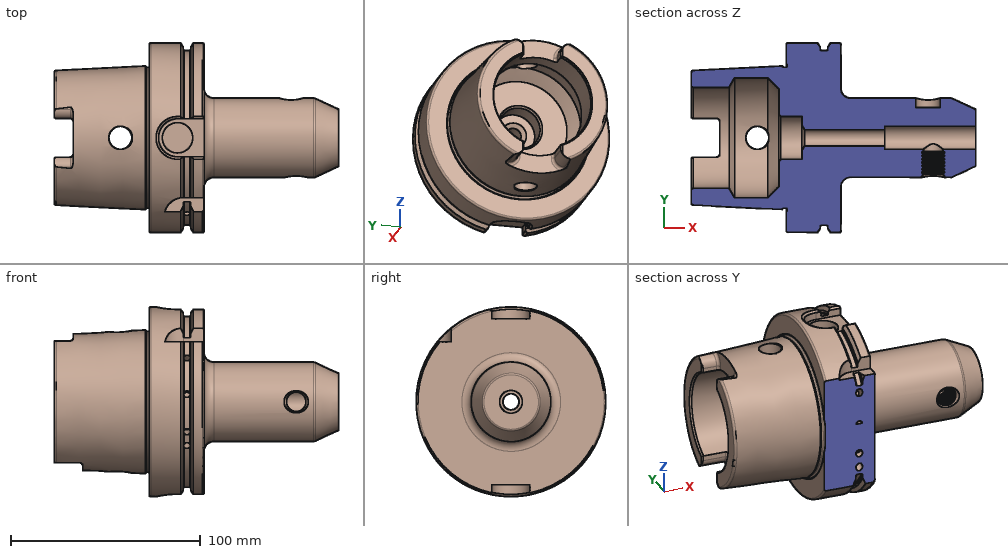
import cadquery as cq
import math


SHANK_LENGTH = 50.0
GAUGE_DIAMETER = 75.0
GAUGE_X = -10.0
TAPER_RATIO = 1 / 9.98
SHANK_END_FILLET = 1.3
UNDERCUT_START_X = -2.1
UNDERCUT_RADIUS = 37.2
UNDERCUT_LEAD = 0.9
UNDERCUT_FACE_RADIUS = 39.0
UNDERCUT_FACE_DEPTH = 0.5
UNDERCUT_FILLET = 0.8

FLANGE_RADIUS = 50.0
FLANGE_WIDTH = 29.0
FLANGE_EDGE_FILLET = 1.0

GROOVE_X = 20.0
GROOVE_FLOOR_RADIUS = 46.1
GROOVE_FLOOR_HALF_WIDTH = 1.35
GROOVE_WALL_HALF_WIDTH = 1.9
GROOVE_TOP_HALF_WIDTH = 3.4
GROOVE_FLARE_RADIUS = 47.7
GROOVE_FLOOR_BEVEL = 0.4

NOSE_RADIUS = 21.0
NOSE_END_X = 100.0
NOSE_ROOT_FILLET = 5.0
NOSE_CONE_START_X = 87.1
NOSE_CONE_ANGLE = 25.0
NOSE_SHOULDER_FILLET = 2.25
NOSE_TIP_FILLET = 1.0

CLAMP_BORE_RADIUS = 26.5
CLAMP_BORE_CHAMFER = 0.6
CLAMP_BORE_CHAMFER_LENGTH = 1.1
CLAMP_SHOULDER_X = -30.0
CLAMP_SHOULDER_ANGLE = 60.0
CHAMBER_RADIUS = 31.5
CHAMBER_END_X = -9.6
CHAMBER_FLOOR_RADIUS = 25.6
CHAMBER_FLOOR_X = CHAMBER_END_X + CHAMBER_RADIUS - CHAMBER_FLOOR_RADIUS

TUBE_CORE_RADIUS = 11.2
TUBE_CHAMFER = 1.05
TUBE_SEAT_DEPTH = 12.0
ADJUSTER_CORE_RADIUS = 4.19
ADJUSTER_CONE_RADIUS = 6.7
ADJUSTER_CONE_ANGLE = 60.0
TOOL_BORE_RADIUS = 6.0
TOOL_BORE_DEPTH = 48.0

DRIVE_SLOT_HALF_WIDTH = 10.1
DRIVE_SLOT_FLARE_RADIUS = 5.0
DRIVE_SLOT_FLARE_START = 27.1
DRIVE_SLOT_DEPTH_TOP = 10.0
DRIVE_SLOT_DEPTH_BOTTOM = 15.0
DRIVE_SLOT_FLOOR_FILLET = 1.6
DRIVE_SLOT_CHAMFER = 0.8

ACCESS_HOLE_X = -15.1
ACCESS_HOLE_RADIUS = 6.0
ACCESS_HOLE_CHAMFER = 0.4

KEY_SLOT_HALF_WIDTH = 10.0
KEY_SLOT_CENTER_X = 15.0
KEY_SLOT_FLOOR = 43.7
KEY_SLOT_CHAMFER = 1.3
CHIP_HOLE_RADIUS = 8.0
CHIP_HOLE_DEPTH = 5.5

NOTCH_WALL = 31.5
NOTCH_END_RADIUS = 10.0
NOTCH_END_CENTER_X = 18.0
NOTCH_FILLET_MARGIN = 0.01

BALANCE_HOLE_ANGLES = (30, 5, -20, -30)
BALANCE_HOLE_RADIUS = 1.75
BALANCE_HOLE_DEPTH = 8.0

SCREW_X = 77.5
SCREW_CORE_RADIUS = 5.1
SCREW_MAJOR_RADIUS = 6.0
SCREW_PITCH = 1.75
SCREW_GROOVE_SHARE = 0.9
SCREW_MOUTH_RADIUS = 6.4
SCREW_MOUTH_DEPTH = 1.9
RELIEF_HOLE_X = 74.8
RELIEF_HOLE_RADIUS = 6.4
RELIEF_HOLE_DEPTH = 5.0

CLEARANCE = 5.0
MARGIN = 1.0


def taper_radius(x):
    return (GAUGE_DIAMETER + (x - GAUGE_X) * TAPER_RATIO) / 2


def revolve_about_axis(outline):
    return outline.close().revolve(360, (0, 0, 0), (1, 0, 0))


def edges_at(body, x, radius):
    """Largest circular edge about the tool axis at the given station, within the given radius."""
    reach = 0.05
    box = cq.selectors.BoxSelector(
        (x - reach, -radius - reach, -radius - reach),
        (x + reach, radius + reach, radius + reach),
        boundingbox=True,
    )
    return body.edges(box).edges(cq.selectors.RadiusNthSelector(-1))


def turned_body():
    cone_drop = (NOSE_END_X - NOSE_CONE_START_X) * math.tan(math.radians(NOSE_CONE_ANGLE))
    tip_radius = NOSE_RADIUS - cone_drop
    shank_end_radius = taper_radius(-SHANK_LENGTH)
    body = revolve_about_axis(
        cq.Workplane("XY")
        .moveTo(-SHANK_LENGTH, 0)
        .lineTo(-SHANK_LENGTH, shank_end_radius)
        .lineTo(UNDERCUT_START_X, taper_radius(UNDERCUT_START_X))
        .lineTo(UNDERCUT_START_X + UNDERCUT_LEAD, UNDERCUT_RADIUS)
        .lineTo(UNDERCUT_FACE_DEPTH - UNDERCUT_FILLET, UNDERCUT_RADIUS)
        .radiusArc((UNDERCUT_FACE_DEPTH, UNDERCUT_RADIUS + UNDERCUT_FILLET), -UNDERCUT_FILLET)
        .lineTo(UNDERCUT_FACE_DEPTH, UNDERCUT_FACE_RADIUS - UNDERCUT_FACE_DEPTH)
        .lineTo(0, UNDERCUT_FACE_RADIUS)
        .lineTo(0, FLANGE_RADIUS)
        .lineTo(FLANGE_WIDTH, FLANGE_RADIUS)
        .lineTo(FLANGE_WIDTH, NOSE_RADIUS)
        .lineTo(NOSE_CONE_START_X, NOSE_RADIUS)
        .lineTo(NOSE_END_X, tip_radius)
        .lineTo(NOSE_END_X, 0)
    )
    fillets = (
        (-SHANK_LENGTH, shank_end_radius, SHANK_END_FILLET),
        (0, FLANGE_RADIUS, FLANGE_EDGE_FILLET),
        (FLANGE_WIDTH, NOSE_RADIUS, NOSE_ROOT_FILLET),
        (NOSE_CONE_START_X, NOSE_RADIUS, NOSE_SHOULDER_FILLET),
        (NOSE_END_X, tip_radius, NOSE_TIP_FILLET),
    )
    for x, edge_radius, fillet_radius in fillets:
        body = edges_at(body, x, edge_radius).fillet(fillet_radius)
    return body


def gripper_groove():
    right_side = (
        (GROOVE_FLOOR_HALF_WIDTH, GROOVE_FLOOR_RADIUS),
        (GROOVE_WALL_HALF_WIDTH, GROOVE_FLOOR_RADIUS + GROOVE_FLOOR_BEVEL),
        (GROOVE_WALL_HALF_WIDTH, GROOVE_FLARE_RADIUS),
        (GROOVE_TOP_HALF_WIDTH, FLANGE_RADIUS),
        (GROOVE_TOP_HALF_WIDTH, FLANGE_RADIUS + CLEARANCE),
    )
    outline = [(GROOVE_X + offset, radius) for offset, radius in right_side]
    outline += [(GROOVE_X - offset, radius) for offset, radius in reversed(right_side)]
    return revolve_about_axis(cq.Workplane("XY").polyline(outline))


def axial_bore():
    flare_length = (CHAMBER_RADIUS - CLAMP_BORE_RADIUS) / math.tan(math.radians(CLAMP_SHOULDER_ANGLE))
    seat_floor_x = CHAMBER_FLOOR_X + TUBE_SEAT_DEPTH
    cone_drop = ADJUSTER_CONE_RADIUS - ADJUSTER_CORE_RADIUS
    cone_end_x = seat_floor_x + cone_drop / math.tan(math.radians(ADJUSTER_CONE_ANGLE))
    tool_bore_x = NOSE_END_X - TOOL_BORE_DEPTH
    outline = (
        (-SHANK_LENGTH, 0),
        (-SHANK_LENGTH, CLAMP_BORE_RADIUS + CLAMP_BORE_CHAMFER),
        (-SHANK_LENGTH + CLAMP_BORE_CHAMFER_LENGTH, CLAMP_BORE_RADIUS),
        (CLAMP_SHOULDER_X, CLAMP_BORE_RADIUS),
        (CLAMP_SHOULDER_X + flare_length, CHAMBER_RADIUS),
        (CHAMBER_END_X, CHAMBER_RADIUS),
        (CHAMBER_FLOOR_X, CHAMBER_FLOOR_RADIUS),
        (CHAMBER_FLOOR_X, TUBE_CORE_RADIUS + TUBE_CHAMFER),
        (CHAMBER_FLOOR_X + TUBE_CHAMFER, TUBE_CORE_RADIUS),
        (seat_floor_x, TUBE_CORE_RADIUS),
        (seat_floor_x, ADJUSTER_CONE_RADIUS),
        (cone_end_x, ADJUSTER_CORE_RADIUS),
        (tool_bore_x, ADJUSTER_CORE_RADIUS),
        (tool_bore_x, TOOL_BORE_RADIUS),
        (NOSE_END_X, TOOL_BORE_RADIUS),
        (NOSE_END_X, 0),
    )
    return revolve_about_axis(cq.Workplane("XY").polyline(outline))


def drive_slot(depth):
    """Slot toward +Z in the shank end, with walls that curve outward near the taper."""
    half = DRIVE_SLOT_HALF_WIDTH
    flare = DRIVE_SLOT_FLARE_RADIUS
    start = DRIVE_SLOT_FLARE_START
    diagonal = flare * math.sqrt(0.5)
    outer = FLANGE_RADIUS
    slot = (
        cq.Workplane("YZ", origin=(-SHANK_LENGTH - CLEARANCE, 0, 0))
        .moveTo(-half, 0)
        .lineTo(-half, start)
        .threePointArc((-half - flare + diagonal, start + diagonal), (-half - flare, start + flare))
        .lineTo(-outer, start + flare)
        .lineTo(-outer, outer)
        .lineTo(outer, outer)
        .lineTo(outer, start + flare)
        .lineTo(half + flare, start + flare)
        .threePointArc((half + flare - diagonal, start + diagonal), (half, start))
        .lineTo(half, 0)
        .close()
        .extrude(CLEARANCE + depth)
        .faces(">X")
        .edges()
        .fillet(DRIVE_SLOT_FLOOR_FILLET)
    )
    wide = half + DRIVE_SLOT_CHAMFER
    mouth = (
        cq.Workplane("XY")
        .polyline([
            (-SHANK_LENGTH, -wide),
            (-SHANK_LENGTH, wide),
            (-SHANK_LENGTH + DRIVE_SLOT_CHAMFER, half),
            (-SHANK_LENGTH + DRIVE_SLOT_CHAMFER, -half),
        ])
        .close()
        .extrude(start + flare)
    )
    return slot.union(mouth)


def access_hole():
    """Hole along Z through both shank walls, chamfered at the taper surface."""
    hole = cq.Workplane("XY", origin=(ACCESS_HOLE_X, 0, -FLANGE_RADIUS))
    hole = hole.circle(ACCESS_HOLE_RADIUS).extrude(2 * FLANGE_RADIUS)
    surface = taper_radius(ACCESS_HOLE_X)
    mouth = (
        cq.Workplane("XY", origin=(ACCESS_HOLE_X, 0, surface - ACCESS_HOLE_CHAMFER))
        .circle(ACCESS_HOLE_RADIUS)
        .workplane(offset=ACCESS_HOLE_CHAMFER)
        .circle(ACCESS_HOLE_RADIUS + ACCESS_HOLE_CHAMFER)
        .loft()
    )
    return hole.union(mouth).union(mouth.mirror("XY"))


def key_slot():
    """Round-ended slot toward +Z, open at the nose side of the flange."""
    height = FLANGE_RADIUS + CLEARANCE - KEY_SLOT_FLOOR
    length = FLANGE_WIDTH + CLEARANCE - KEY_SLOT_CENTER_X
    floor_plane = cq.Workplane("XY", origin=(KEY_SLOT_CENTER_X, 0, KEY_SLOT_FLOOR))
    round_end = floor_plane.circle(KEY_SLOT_HALF_WIDTH).extrude(height)
    channel = floor_plane.rect(2 * length, 2 * KEY_SLOT_HALF_WIDTH).extrude(height)
    right_half = floor_plane.rect(2 * length, 4 * KEY_SLOT_HALF_WIDTH).extrude(height)
    right_half = right_half.translate((length, 0, 0))
    return round_end.union(channel.intersect(right_half))


def cut_key_slots(body):
    """Cut the slots toward +Z and -Z and chamfer their rims."""
    slot = key_slot()
    body = body.cut(slot).cut(slot.mirror("XY"))
    lowest_rim = math.sqrt(FLANGE_RADIUS**2 - KEY_SLOT_HALF_WIDTH**2) - 0.1 * MARGIN
    for side in (1, -1):
        slot_rim = cq.selectors.BoxSelector(
            (MARGIN, -KEY_SLOT_HALF_WIDTH - MARGIN, side * lowest_rim),
            (FLANGE_WIDTH - MARGIN, KEY_SLOT_HALF_WIDTH + MARGIN, side * (FLANGE_RADIUS + MARGIN)),
        )
        body = body.edges(slot_rim).chamfer(KEY_SLOT_CHAMFER)
    return body


def nose_side_rim_rounding():
    """Ring that rounds the flange edge on the nose side."""
    fillet = FLANGE_EDGE_FILLET
    arc_reach = fillet * math.sqrt(0.5)
    return revolve_about_axis(
        cq.Workplane("XY")
        .moveTo(FLANGE_WIDTH - fillet, FLANGE_RADIUS)
        .threePointArc(
            (FLANGE_WIDTH - fillet + arc_reach, FLANGE_RADIUS - fillet + arc_reach),
            (FLANGE_WIDTH, FLANGE_RADIUS - fillet),
        )
        .lineTo(FLANGE_WIDTH + fillet, FLANGE_RADIUS - fillet)
        .lineTo(FLANGE_WIDTH + fillet, FLANGE_RADIUS + fillet)
        .lineTo(FLANGE_WIDTH - fillet, FLANGE_RADIUS + fillet)
    )


def chip_hole():
    hole = cq.Workplane("XY", origin=(KEY_SLOT_CENTER_X, 0, KEY_SLOT_FLOOR - CHIP_HOLE_DEPTH))
    return hole.circle(CHIP_HOLE_RADIUS).extrude(CHIP_HOLE_DEPTH + CLEARANCE)


def orientation_notch():
    """Stepped notch between the -Y and +Z directions, with a round end toward the shank."""
    start_x = NOTCH_END_CENTER_X - NOTCH_END_RADIUS
    length = FLANGE_WIDTH + CLEARANCE - start_x
    width = 2 * NOTCH_END_RADIUS
    return (
        cq.Workplane("XY", origin=(start_x, -NOTCH_WALL - width, NOTCH_WALL))
        .box(length, width, FLANGE_RADIUS - NOTCH_WALL, centered=False)
        .edges("|Z and <X")
        .fillet(NOTCH_END_RADIUS - NOTCH_FILLET_MARGIN)
    )


def balance_hole(angle):
    """Radial blind hole in the groove floor."""
    hole = (
        cq.Workplane("XZ", origin=(GROOVE_X, -GROOVE_FLOOR_RADIUS + BALANCE_HOLE_DEPTH, 0))
        .circle(BALANCE_HOLE_RADIUS)
        .extrude(BALANCE_HOLE_DEPTH + MARGIN)
    )
    return hole.rotate((0, 0, 0), (1, 0, 0), -angle)


def screw_hole():
    """Threaded hole from -Y into the tool bore, with the thread as a stack of ring grooves."""
    mouth_end = NOSE_RADIUS - SCREW_MOUTH_DEPTH
    mouth_slope = (SCREW_MOUTH_RADIUS - SCREW_CORE_RADIUS) / SCREW_MOUTH_DEPTH
    outer = NOSE_RADIUS + MARGIN
    hole = (
        cq.Workplane("XY")
        .polyline([
            (0, 0),
            (SCREW_CORE_RADIUS, 0),
            (SCREW_CORE_RADIUS, -mouth_end),
            (SCREW_CORE_RADIUS + mouth_slope * (outer - mouth_end), -outer),
            (0, -outer),
        ])
        .close()
        .revolve(360, (0, 0, 0), (0, 1, 0))
    )
    groove_half = SCREW_PITCH * SCREW_GROOVE_SHARE / 2
    groove_count = int((mouth_end - TOOL_BORE_RADIUS) / SCREW_PITCH)
    for index in range(groove_count):
        y = -mouth_end + (index + 0.5) * SCREW_PITCH
        groove = (
            cq.Workplane("XY")
            .polyline([
                (0, y - groove_half),
                (SCREW_CORE_RADIUS, y - groove_half),
                (SCREW_MAJOR_RADIUS, y),
                (SCREW_CORE_RADIUS, y + groove_half),
                (0, y + groove_half),
            ])
            .close()
            .revolve(360, (0, 0, 0), (0, 1, 0))
        )
        hole = hole.union(groove)
    return hole.translate((SCREW_X, 0, 0))


def relief_hole():
    hole = cq.Workplane("XZ", origin=(RELIEF_HOLE_X, NOSE_RADIUS + MARGIN, 0))
    return hole.circle(RELIEF_HOLE_RADIUS).extrude(RELIEF_HOLE_DEPTH + MARGIN)


result = turned_body()
result = cut_key_slots(result)
result = result.cut(nose_side_rim_rounding())
result = result.cut(orientation_notch())
result = result.cut(gripper_groove())
result = result.cut(chip_hole())
for hole_angle in BALANCE_HOLE_ANGLES:
    result = result.cut(balance_hole(hole_angle))
result = result.cut(axial_bore())
result = result.cut(drive_slot(DRIVE_SLOT_DEPTH_TOP))
result = result.cut(drive_slot(DRIVE_SLOT_DEPTH_BOTTOM).mirror("XY"))
result = result.cut(access_hole())
result = result.cut(screw_hole())
result = result.cut(relief_hole())